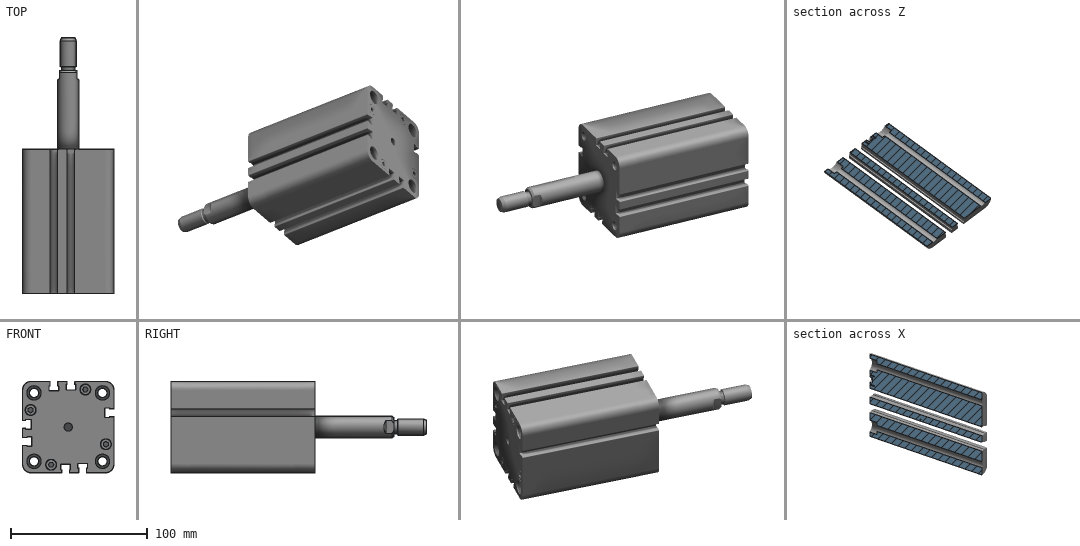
import cadquery as cq

side = 67.0
half = side / 2
corner_radius = 6.5
body_length = 105.5
cap_length = 14.75
tube_length = body_length - 2 * cap_length

slot_mouth = 5.5
slot_inner = 6.8
mouth_radius = 0.5
deep_slot_offset = -10.5
deep_slot_depth = 6.8
deep_slot_lip = 3.5
shallow_slot_offset = 2.0
shallow_slot_depth = 6.3
shallow_slot_lip = 2.3
full_turn = 360
quarter_turn = full_turn / 4
side_turns = range(4)
plain_turn = 3

mount_pitch = 50.0
mount_diameter = 6.65
mount_bore_diameter = 10.5
mount_bore_depth = 6.5

screw_across = 27.5
screw_along = 12.5
screw_recess_diameter = 8.0
screw_head_diameter = 7.5
screw_gap_depth = 4.0
socket_width = 3.5
socket_depth = 2.5
hexagon_sides = 6

center_hole_diameter = 6.0
center_hole_depth = 10.0

total_length = 187.0
rod_diameter = 16.0
rod_end = 163.0
rod_chamfer_length = 1.5
rod_chamfer_height = 1.0
undercut_diameter = 10.0
undercut_length = 2.6
thread_diameter = 12.0
thread_inner_chamfer = 0.5
tip_diameter = 10.0
tip_chamfer_length = 2.5
flats_width = 13.0
flats_length = 5.8


def block(length, start):
    """Rounded square block running from y = start to y = start + length."""
    blank = cq.Workplane("XZ", origin=(0, start, 0)).rect(side, side).extrude(-length)
    return blank.edges("|Y").fillet(corner_radius)


def slot(offset, depth, lip, length, start):
    """T-slot cutter for the top side, with rounded mouth edges."""
    mouth = slot_mouth / 2
    inner = slot_inner / 2
    outline = (
        cq.Workplane("XZ", origin=(offset, start, 0))
        .moveTo(-mouth - mouth_radius, half)
        .radiusArc((-mouth, half - mouth_radius), mouth_radius)
        .lineTo(-mouth, half - lip)
        .lineTo(-inner, half - lip)
        .lineTo(-inner, half - depth)
        .lineTo(inner, half - depth)
        .lineTo(inner, half - lip)
        .lineTo(mouth, half - lip)
        .lineTo(mouth, half - mouth_radius)
        .radiusArc((mouth + mouth_radius, half), mouth_radius)
        .close()
    )
    return outline.extrude(-length)


def turned(shape, turns):
    """Turn a shape about the body axis, from the top toward the -X side."""
    return shape.rotate((0, 0, 0), (0, 1, 0), -quarter_turn * turns)


def section(length, start):
    """One stretch of the body with its slots."""
    body = block(length, start)
    deep = slot(deep_slot_offset, deep_slot_depth, deep_slot_lip, length, start)
    shallow = slot(shallow_slot_offset, shallow_slot_depth, shallow_slot_lip, length, start)
    for turn in side_turns:
        body = body.cut(turned(deep, turn))
        if turn != plain_turn:
            body = body.cut(turned(shallow, turn))
    return body


def pin(diameter, length, x=0, z=0):
    """Cylinder along +Y from the -Y face of the body."""
    return cq.Workplane("XZ", origin=(x, 0, z)).circle(diameter / 2).extrude(-length)


def mounting_hole(x, z):
    """Through hole with a counterbore from the -Y face."""
    hole = pin(mount_diameter, body_length, x, z)
    return hole.union(pin(mount_bore_diameter, mount_bore_depth, x, z))


def screw_cut():
    """Ring gap around a flush screw head, and the hexagon socket in the head."""
    gap = pin(screw_recess_diameter, screw_gap_depth, screw_along, screw_across)
    gap = gap.cut(pin(screw_head_diameter, screw_gap_depth, screw_along, screw_across))
    socket = (
        cq.Workplane("XZ", origin=(screw_along, 0, screw_across))
        .transformed(rotate=(0, 0, quarter_turn))
        .polygon(hexagon_sides, socket_width, circumscribed=True)
        .extrude(-socket_depth)
    )
    return gap.union(socket)


def piston_rod():
    """Turned rod with an undercut, a threaded end and two wrench flats."""
    rod = rod_diameter / 2
    thread = thread_diameter / 2
    undercut = undercut_diameter / 2
    thread_start = rod_end + undercut_length
    outline = [
        (0, body_length),
        (rod, body_length),
        (rod, rod_end - rod_chamfer_length),
        (rod - rod_chamfer_height, rod_end),
        (undercut, rod_end),
        (undercut, thread_start),
        (thread, thread_start + thread_inner_chamfer),
        (thread, total_length - tip_chamfer_length),
        (tip_diameter / 2, total_length),
        (0, total_length),
    ]
    shape = cq.Workplane("XY").polyline(outline).close().revolve(full_turn, (0, 0, 0), (0, 1, 0))
    flat = flats_width / 2
    flats_start = rod_end - flats_length
    ramp = rod - flat
    for direction in (1, -1):
        cutter = [
            (direction * flat, rod_end),
            (direction * flat, flats_start),
            (direction * rod, flats_start - ramp),
            (direction * rod, rod_end),
        ]
        shape = shape.cut(cq.Workplane("XY").polyline(cutter).close().extrude(rod, both=True))
    return shape


result = section(cap_length, 0)
result = result.union(section(tube_length, cap_length), clean=False)
result = result.union(section(cap_length, body_length - cap_length), clean=False)
result = result.union(piston_rod(), clean=False)

mount_positions = (-mount_pitch / 2, mount_pitch / 2)
for x in mount_positions:
    for z in mount_positions:
        result = result.cut(mounting_hole(x, z), clean=False)

for turn in side_turns:
    result = result.cut(turned(screw_cut(), turn), clean=False)

result = result.cut(pin(center_hole_diameter, center_hole_depth), clean=False)